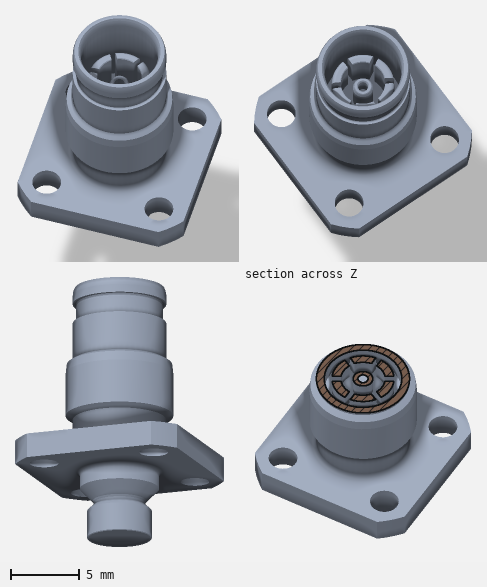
import cadquery as cq
import math

total_height = 19.0
flange_bottom = 5.02
flange_thickness = 1.8
flange_top = flange_bottom + flange_thickness

flange_width = 12.7
flange_corner_radius = 8.0
mount_hole_diameter = 2.1
mount_hole_spacing = 8.59

spigot_radius = 2.38
spigot_edge_chamfer = 0.05
spigot_shoulder = 2.09
neck_radius = 1.92
neck_bottom = 2.5
neck_top = 2.7
neck_cone_radius = 1.98
neck_cone_bottom = 2.85
hub_radius = 2.9
hub_bottom = neck_cone_bottom + hub_radius - neck_cone_radius
hub_fillet = 0.3

barrel_radius = 3.44
barrel_fillet = 0.35
band_radius = 3.95
band_bottom = 9.33
band_bottom_chamfer_height = 0.3
band_taper_start = 12.54
band_taper_end = 13.22
band_taper_radius = 3.88
band_top = 13.5
groove_radius = 3.2
groove_bottom = 16.35
groove_top = 17.85
relief_radius = 3.15
relief_height = 0.25
relief_start = groove_top - relief_height
relief_deepest = groove_top - relief_height / 2
rim_radius = 3.3
rim_round_start = 18.43

bore_radius = 2.83
bore_floor = 12.54
bore_mouth_radius = 3.02
bore_lip_radius = 2.93
bore_lip_depth = 0.17
bore_round_depth = 0.6

finger_inner_radius = 1.62
finger_outer_radius = 2.3
finger_tip = 15.92
finger_tip_round = 0.3
finger_tip_chamfer = 0.05
slot_width = 0.42
slot_count = 3

contact_radius = 0.75
contact_shoulder_radius = 0.65
contact_tip_radius = 0.59
contact_tip = 15.2
contact_taper_height = 0.23
contact_socket_radius = 0.36
contact_socket_mouth_radius = 0.45
contact_socket_depth = 1.52


def arc_middle(tangent_point, end_point):
    """Midpoint of the arc that leaves tangent_point along Z and ends at end_point."""
    dr = end_point[0] - tangent_point[0]
    dz = end_point[1] - tangent_point[1]
    radius = (dr**2 + dz**2) / (2 * abs(dr))
    half_sweep = math.atan2(abs(dr), abs(dz))
    r = tangent_point[0] + math.copysign(radius * (1 - math.cos(half_sweep)), dr)
    z = tangent_point[1] + math.copysign(radius * math.sin(half_sweep), dz)
    return (r, z)


def revolve_profile(profile):
    """Close a half profile drawn as (radius, height) and turn it about Z."""
    return profile.close().revolve(360, (0, 0, 0), (0, 1, 0))


def make_turned_body():
    hub_tangent = (hub_radius, flange_bottom - hub_fillet)
    hub_end = (hub_radius + hub_fillet, flange_bottom)
    barrel_tangent = (barrel_radius, flange_top + barrel_fillet)
    barrel_foot = (barrel_radius + barrel_fillet, flange_top)
    rim_tangent = (barrel_radius, rim_round_start)
    rim_end = (rim_radius, total_height)
    profile = (
        cq.Workplane("XZ")
        .lineTo(spigot_radius - spigot_edge_chamfer, 0)
        .lineTo(spigot_radius, spigot_edge_chamfer)
        .lineTo(spigot_radius, spigot_shoulder)
        .lineTo(neck_radius, neck_bottom)
        .lineTo(neck_radius, neck_top)
        .lineTo(neck_cone_radius, neck_cone_bottom)
        .lineTo(hub_radius, hub_bottom)
        .lineTo(*hub_tangent)
        .threePointArc(arc_middle(hub_tangent, hub_end), hub_end)
        .lineTo(*barrel_foot)
        .threePointArc(arc_middle(barrel_tangent, barrel_foot), barrel_tangent)
        .lineTo(barrel_radius, band_bottom - band_bottom_chamfer_height)
        .lineTo(band_radius, band_bottom)
        .lineTo(band_radius, band_taper_start)
        .lineTo(band_taper_radius, band_taper_end)
        .lineTo(barrel_radius, band_top)
        .lineTo(barrel_radius, groove_bottom)
        .lineTo(groove_radius, groove_bottom)
        .lineTo(groove_radius, relief_start)
        .lineTo(relief_radius, relief_deepest)
        .lineTo(groove_radius, groove_top)
        .lineTo(barrel_radius, groove_top)
        .lineTo(*rim_tangent)
        .threePointArc(arc_middle(rim_tangent, rim_end), rim_end)
        .lineTo(0, total_height)
    )
    return revolve_profile(profile)


def make_flange():
    plate = cq.Workplane("XY").workplane(offset=flange_bottom)
    square = plate.rect(flange_width, flange_width).extrude(flange_thickness)
    disc = plate.circle(flange_corner_radius).extrude(flange_thickness)
    return square.intersect(disc)


def make_mount_holes():
    return (
        cq.Workplane("XY")
        .workplane(offset=flange_bottom)
        .rect(mount_hole_spacing, mount_hole_spacing, forConstruction=True)
        .vertices()
        .circle(mount_hole_diameter / 2)
        .extrude(flange_thickness)
    )


def make_bore():
    round_tangent = (bore_radius, total_height - bore_round_depth)
    lip = (bore_lip_radius, total_height - bore_lip_depth)
    profile = (
        cq.Workplane("XZ")
        .moveTo(0, bore_floor)
        .lineTo(bore_radius, bore_floor)
        .lineTo(*round_tangent)
        .threePointArc(arc_middle(round_tangent, lip), lip)
        .lineTo(bore_mouth_radius, total_height)
        .lineTo(0, total_height)
    )
    return revolve_profile(profile)


def make_fingers():
    round_tangent = (finger_outer_radius, finger_tip - finger_tip_round)
    round_end = (finger_outer_radius - finger_tip_round, finger_tip)
    profile = (
        cq.Workplane("XZ")
        .moveTo(finger_inner_radius, bore_floor)
        .lineTo(finger_outer_radius, bore_floor)
        .lineTo(*round_tangent)
        .threePointArc(arc_middle(round_tangent, round_end), round_end)
        .lineTo(finger_inner_radius + finger_tip_chamfer, finger_tip)
        .lineTo(finger_inner_radius, finger_tip - finger_tip_chamfer)
    )
    fingers = revolve_profile(profile)
    slot = (
        cq.Workplane("XY")
        .workplane(offset=bore_floor)
        .rect(2 * bore_radius, slot_width)
        .extrude(finger_tip - bore_floor)
    )
    for index in range(slot_count):
        fingers = fingers.cut(slot.rotate((0, 0, 0), (0, 0, 1), index * 180 / slot_count))
    return fingers


def make_contact():
    tip_chamfer = contact_shoulder_radius - contact_tip_radius
    shoulder = contact_tip - tip_chamfer
    socket_chamfer = contact_socket_mouth_radius - contact_socket_radius
    profile = (
        cq.Workplane("XZ")
        .moveTo(0, bore_floor)
        .lineTo(contact_radius, bore_floor)
        .lineTo(contact_radius, shoulder - contact_taper_height)
        .lineTo(contact_shoulder_radius, shoulder)
        .lineTo(contact_tip_radius, contact_tip)
        .lineTo(contact_socket_mouth_radius, contact_tip)
        .lineTo(contact_socket_radius, contact_tip - socket_chamfer)
        .lineTo(contact_socket_radius, contact_tip - contact_socket_depth)
        .lineTo(0, contact_tip - contact_socket_depth)
    )
    return revolve_profile(profile)


shell = make_turned_body().union(make_flange()).cut(make_mount_holes()).cut(make_bore())
result = shell.union(make_fingers()).union(make_contact())